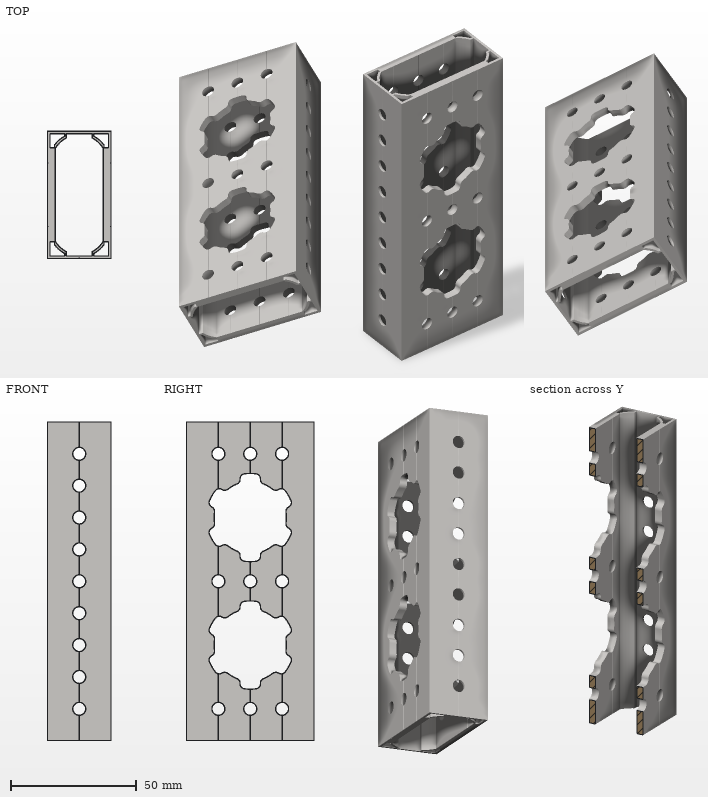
import cadquery as cq
import math

WIDTH = 25.4
DEPTH = 50.8
HEIGHT = 127.0
SIDE_WALL = 3.2
END_WALL = 1.08

CHANNEL_WALL = 1.1
CHANNEL_LENGTH = 6.6
CHANNEL_NEAR_X = 9.9
WEB_INNER_RADIUS = 11.2
WEB_OUTER_RADIUS = 12.2
WEB_FOOT_INNER = 5.1
WEB_FOOT_OUTER = 5.8

PITCH = 12.7
HOLE_DIAMETER = 5.1
GROOVE_WIDTH = 0.3
GROOVE_DEPTH = 0.1

OPENING_RADIUS = 14.4
LOBE_RADIUS = 17.5
LOBE_WIDTH = 8.0
LOBE_COUNT = 6
LOBE_TIP_FILLET = 1.9
LOBE_ROOT_FILLET = 2.0

HALF_WIDTH = WIDTH / 2
HALF_DEPTH = DEPTH / 2
BORE_HALF_WIDTH = HALF_WIDTH - SIDE_WALL
BORE_HALF_DEPTH = HALF_DEPTH - END_WALL
WEB_CENTER_Y = HALF_DEPTH - HALF_WIDTH
ROW_OFFSETS = (-PITCH, 0, PITCH)
END_HOLE_COUNT = round(HEIGHT / PITCH) - 1
SIDE_HOLE_HEIGHTS = (PITCH, HEIGHT / 2, HEIGHT - PITCH)
OPENING_HEIGHTS = (3 * PITCH, 7 * PITCH)


def web_point(radius, x):
    """Point at the given x on the +Y half of a web circle."""
    return (x, WEB_CENTER_Y + math.sqrt(radius**2 - x**2))


def web_middle(radius):
    """Point on the diagonal of a web circle."""
    return web_point(radius, radius * math.sqrt(0.5))


def in_all_corners(corner):
    """Join a +X +Y solid with its mirror images in the other three corners."""
    pair = corner.union(corner.mirror("YZ"))
    return pair.union(pair.mirror("XZ"))


def bore_quarter():
    """Quarter of the main bore, bounded by the curved web."""
    return (
        cq.Workplane("XY")
        .lineTo(BORE_HALF_WIDTH, 0)
        .lineTo(*web_point(WEB_INNER_RADIUS, BORE_HALF_WIDTH))
        .threePointArc(web_middle(WEB_INNER_RADIUS), web_point(WEB_INNER_RADIUS, WEB_FOOT_INNER))
        .lineTo(WEB_FOOT_INNER, BORE_HALF_DEPTH)
        .lineTo(0, BORE_HALF_DEPTH)
        .close()
        .extrude(HEIGHT)
    )


def corner_channel():
    """Corner channel between the outer walls and the curved web."""
    far_x = HALF_WIDTH - CHANNEL_WALL
    near_y = HALF_DEPTH - CHANNEL_LENGTH
    return (
        cq.Workplane("XY")
        .moveTo(far_x, BORE_HALF_DEPTH)
        .lineTo(far_x, near_y)
        .lineTo(CHANNEL_NEAR_X, near_y)
        .lineTo(*web_point(WEB_OUTER_RADIUS, CHANNEL_NEAR_X))
        .threePointArc(web_middle(WEB_OUTER_RADIUS), web_point(WEB_OUTER_RADIUS, WEB_FOOT_OUTER))
        .lineTo(WEB_FOOT_OUTER, BORE_HALF_DEPTH)
        .close()
        .extrude(HEIGHT)
    )


def groove(x, y, facing):
    """V groove along Z in the wall face at (x, y); facing is the face direction in degrees from +X."""
    return (
        cq.Workplane("XY")
        .polyline([(0, -GROOVE_WIDTH / 2), (0, GROOVE_WIDTH / 2), (-GROOVE_DEPTH, 0)])
        .close()
        .extrude(HEIGHT)
        .rotate((0, 0, 0), (0, 0, 1), facing)
        .translate((x, y, 0))
    )


def through_holes(plane, points, length):
    """Round holes through both opposite walls of the tube."""
    return (
        cq.Workplane(plane)
        .pushPoints(points)
        .circle(HOLE_DIAMETER / 2)
        .extrude(length / 2, both=True)
    )


def edges_at_radius(cutter, radius):
    """Edges parallel to X at the given distance from the X axis."""
    tolerance = 0.01
    edges = [
        edge
        for edge in cutter.edges("|X").vals()
        if abs(math.hypot(edge.Center().y, edge.Center().z) - radius) < tolerance
    ]
    return cutter.newObject(edges)


def lobed_opening():
    """Six-lobed cutter through both side walls, centred on the origin."""
    lobe_limit = cq.Workplane("YZ").circle(LOBE_RADIUS).extrude(HALF_WIDTH, both=True)
    cutter = cq.Workplane("YZ").circle(OPENING_RADIUS).extrude(HALF_WIDTH, both=True)
    bar = cq.Workplane("XY").box(WIDTH, LOBE_WIDTH, 3 * LOBE_RADIUS)
    for i in range(LOBE_COUNT // 2):
        turned_bar = bar.rotate((0, 0, 0), (1, 0, 0), i * 360 / LOBE_COUNT)
        cutter = cutter.union(turned_bar.intersect(lobe_limit))
    cutter = edges_at_radius(cutter, LOBE_RADIUS).fillet(LOBE_TIP_FILLET)
    return edges_at_radius(cutter, OPENING_RADIUS).fillet(LOBE_ROOT_FILLET)


result = cq.Workplane("XY").box(WIDTH, DEPTH, HEIGHT, centered=(True, True, False))
result = result.cut(in_all_corners(bore_quarter()))
result = result.cut(in_all_corners(corner_channel()))

end_points = [(0, (i + 1) * PITCH) for i in range(END_HOLE_COUNT)]
result = result.cut(through_holes("XZ", end_points, DEPTH))

side_points = [(y, z) for y in ROW_OFFSETS for z in SIDE_HOLE_HEIGHTS]
result = result.cut(through_holes("YZ", side_points, WIDTH))

opening = lobed_opening()
for z in OPENING_HEIGHTS:
    result = result.cut(opening.translate((0, 0, z)))

result = result.cut(groove(0, HALF_DEPTH, 90))
result = result.cut(groove(0, -HALF_DEPTH, -90))

for y in ROW_OFFSETS:
    result = result.cut(groove(HALF_WIDTH, y, 0))
    result = result.cut(groove(-HALF_WIDTH, y, 180))
    result = result.cut(groove(BORE_HALF_WIDTH, y, 180))
    result = result.cut(groove(-BORE_HALF_WIDTH, y, 0))